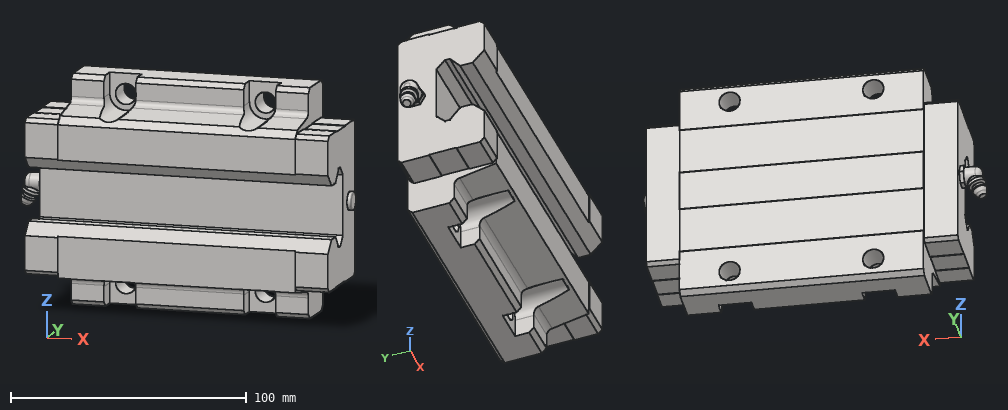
import cadquery as cq
import math


total_length = 147.4
block_length = 105.2
cap_length = 134.4
plug_height = 1.8
cap_depth = 41.0
block_depth = 40.5
fitting_reach = total_length - cap_length - plug_height

flange_half_width = 100.0 / 2
flange_depth = 21.4
flange_chamfer = 2.2
root_half_width = 38.0
root_fillet = 3.0
slope_angle = math.radians(10)
block_bevel_depth = 37.6
block_bevel_half_width = 31.8
relief_depth = 0.5
relief_inner = 8.8
relief_outer = 29.3

hole_diameter = 9.0
hole_x = 31.0
hole_z = 41.0
seat_width = 14.1
seat_depth = 12.8
seat_cut_end = 38.8

cap_top_depth = 1.3
cap_half_width = 33.9
cap_back_chamfer = 1.6
cap_front_chamfer = 1.9
cap_groove_depth = 0.3
cap_groove_start = 15.8
cap_groove_end = 28.1

channel_roof_depth = 19.0
channel_roof_half_width = 13.1
channel_wide_half_width = 17.1
channel_wide_end = 25.2
channel_lip_half_width = 11.6
channel_lip_start = 29.9
channel_lip_end = 35.7

port_depth = 9.3
hex_flats = 8.3
hex_height = 1.8
elbow_diameter = 8.0
elbow_length = 9.3
elbow_rounding = 2.7
nipple_tilt = 45 / 2
nipple_collar_radius = 7.8 / 2
nipple_neck_radius = 5.5 / 2
nipple_head_radius = 6.6 / 2
nipple_tip_radius = 1.8
nipple_nose_radius = 2.7
nipple_collar_start = 3.5
nipple_collar_end = 5.0
nipple_neck_start = 5.7
nipple_neck_end = 6.9
nipple_head_start = 7.7
nipple_nose_start = 9.6
nipple_length = 11.0
plug_diameter = 8.0
plug_rounding = 0.3


def prism(points, length):
    """Extrude a (depth, z) outline along X, centred on X = 0."""
    outline = [(-depth, z) for depth, z in points]
    return cq.Workplane("YZ").polyline(outline).close().extrude(length / 2, both=True)


def mirrored(half_outline):
    """Close an outline given at positive Z with its reflection."""
    return half_outline + [(depth, -z) for depth, z in reversed(half_outline)]


def slope_half_width(depth):
    return root_half_width - (depth - flange_depth) * math.tan(slope_angle)


def make_block():
    shoulder = [
        (0, flange_half_width - flange_chamfer),
        (flange_chamfer, flange_half_width),
        (flange_depth - flange_chamfer, flange_half_width),
        (flange_depth, flange_half_width - flange_chamfer),
        (flange_depth, root_half_width),
    ]
    front = [
        (block_bevel_depth, slope_half_width(block_bevel_depth)),
        (block_depth, block_bevel_half_width),
        (block_depth, -slope_half_width(block_depth)),
    ]
    opposite_shoulder = [(depth, -z) for depth, z in reversed(shoulder)]
    block = prism(shoulder + front + opposite_shoulder, block_length)
    for side in (1, -1):
        root = cq.NearestToPointSelector((0, -flange_depth, side * root_half_width))
        block = block.edges("|X").edges(root).fillet(root_fillet)

    relief_width = relief_outer - relief_inner
    for side in (1, -1):
        relief = cq.Workplane("XY").box(block_length, 2 * relief_depth, relief_width)
        block = block.cut(relief.translate((0, 0, side * (relief_inner + relief_outer) / 2)))
    return block


def cut_mounting_holes(block):
    seat_cut = seat_cut_end - seat_depth
    for x in (-hole_x, hole_x):
        for side in (1, -1):
            z = side * hole_z
            hole = cq.Workplane("XZ").center(x, z).circle(hole_diameter / 2).extrude(block_depth)
            seat = cq.Workplane("XZ", origin=(x, -seat_depth, z))
            round_end = seat.circle(seat_width / 2).extrude(seat_cut)
            open_end = seat.center(0, side * hole_z / 2).rect(seat_width, hole_z).extrude(seat_cut)
            block = block.cut(hole).cut(round_end).cut(open_end)
    return block


def make_caps():
    groove_half_width = cap_half_width - cap_groove_depth
    half_outline = [
        (cap_top_depth, cap_half_width - cap_back_chamfer),
        (cap_top_depth + cap_back_chamfer, cap_half_width),
        (cap_groove_start, cap_half_width),
        (cap_groove_start, groove_half_width),
        (cap_groove_end, groove_half_width),
        (cap_groove_end, cap_half_width),
        (cap_depth - cap_front_chamfer, cap_half_width),
        (cap_depth, cap_half_width - cap_front_chamfer),
    ]
    caps = prism(mirrored(half_outline), cap_length)
    gap = cq.Workplane("XY").box(block_length, 2 * cap_depth, 2 * cap_half_width)
    return caps.cut(gap)


def make_channel():
    wide_start = channel_roof_depth + channel_wide_half_width - channel_roof_half_width
    mouth_half_width = channel_lip_half_width + cap_depth - channel_lip_end
    half_outline = [
        (channel_roof_depth, channel_roof_half_width),
        (wide_start, channel_wide_half_width),
        (channel_wide_end, channel_wide_half_width),
        (channel_lip_start, channel_lip_half_width),
        (channel_lip_end, channel_lip_half_width),
        (cap_depth, mouth_half_width),
    ]
    return prism(mirrored(half_outline), cap_length)


def make_fitting():
    base = cq.Workplane("YZ", origin=(-cap_length / 2, -port_depth, 0))
    hex_corners = hex_flats / math.cos(math.pi / 6)
    hexagon = base.polygon(6, hex_corners).extrude(-hex_height)
    elbow = base.circle(elbow_diameter / 2).extrude(-elbow_length)
    elbow = elbow.faces("<X").edges().fillet(elbow_rounding)

    nipple_profile = [
        (0, 0),
        (nipple_neck_radius, 0),
        (nipple_collar_radius, nipple_collar_start),
        (nipple_collar_radius, nipple_collar_end),
        (nipple_neck_radius, nipple_neck_start),
        (nipple_neck_radius, nipple_neck_end),
        (nipple_head_radius, nipple_head_start),
        (nipple_nose_radius, nipple_nose_start),
        (nipple_tip_radius, nipple_length),
        (0, nipple_length),
    ]
    outline = [(radius, -distance) for radius, distance in nipple_profile]
    nipple = cq.Workplane("XZ").polyline(outline).close().revolve(360, (0, 0), (0, 1))
    nipple = nipple.rotate((0, 0, 0), (0, 1, 0), nipple_tilt)
    head_reach = -nipple.val().BoundingBox().xmin
    nipple_x = -cap_length / 2 - fitting_reach + head_reach
    return hexagon.union(elbow).union(nipple.translate((nipple_x, -port_depth, 0)))


def make_plug():
    base = cq.Workplane("YZ", origin=(cap_length / 2, -port_depth, 0))
    plug = base.circle(plug_diameter / 2).extrude(plug_height)
    return plug.faces(">X").edges().fillet(plug_rounding)


body = cut_mounting_holes(make_block()).union(make_caps()).cut(make_channel())
result = body.union(make_fitting()).union(make_plug())